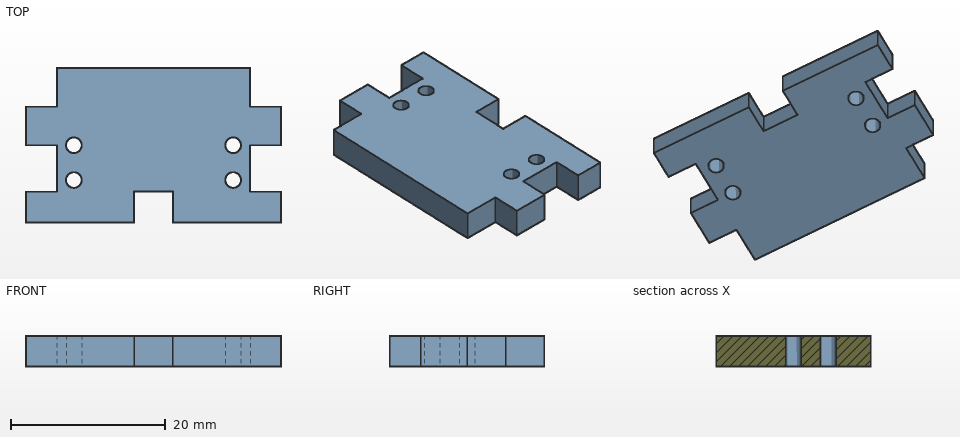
import cadquery as cq

thickness = 4.0
body_width = 25.0
depth = 20.0

tab_reach = 4.0
front_tab_depth = 4.0
rear_tab_start = 10.0
rear_tab_depth = 5.0

notch_width = 5.0
notch_depth = front_tab_depth

hole_diameter = 2.0
hole_spacing_x = 20.6
hole_rows_y = (5.5, 10.0)

overall_width = body_width + 2 * tab_reach


def plate_block(width, start_y, block_depth):
    """Full-thickness block centred on X, running back from start_y."""
    return (
        cq.Workplane("XY")
        .box(width, block_depth, thickness, centered=(True, False, False))
        .translate((0, start_y, 0))
    )


def plate_with_tabs():
    body = plate_block(body_width, 0, depth)
    front_tabs = plate_block(overall_width, 0, front_tab_depth)
    rear_tabs = plate_block(overall_width, rear_tab_start, rear_tab_depth)
    return body.union(front_tabs).union(rear_tabs).clean()


def through_holes():
    centres = [(side * hole_spacing_x / 2, y) for side in (-1, 1) for y in hole_rows_y]
    return cq.Workplane("XY").pushPoints(centres).circle(hole_diameter / 2).extrude(thickness)


front_notch = plate_block(notch_width, 0, notch_depth)

result = plate_with_tabs().cut(front_notch).cut(through_holes())